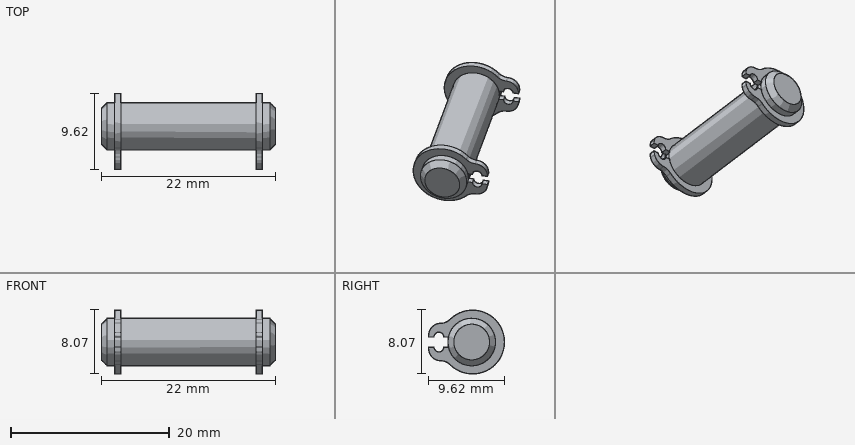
import cadquery as cq
import math

pin_length = 22.0
pin_diameter = 6.0
pin_chamfer = 0.75
groove_diameter = 5.65

ring_thickness = 0.8
ring_end_gap = 1.67
ring_radius = 8.07 / 2
ring_offset = 0.1

neck_angle = math.radians(45)
neck_radius = 1.63
lug_radius = 1.55
tip_arc_top = 1.23
slot_half_width = 0.627
notch_radius = 0.605
notch_y = -4.14


def polar(center, radius, angle):
    """Point on a circle in the YZ plane, angle measured from +Y."""
    return (center[0] + radius * math.cos(angle), center[1] + radius * math.sin(angle))


def mirrored(point):
    return (point[0], -point[1])


def make_pin():
    pin = cq.Workplane("YZ").circle(pin_diameter / 2).extrude(pin_length / 2, both=True)
    return pin.faces("<X or >X").chamfer(pin_chamfer)


def make_groove(x_start):
    return (
        cq.Workplane("YZ", origin=(x_start, 0, 0))
        .circle(pin_diameter / 2)
        .circle(groove_diameter / 2)
        .extrude(ring_thickness)
    )


def make_ring(x_start):
    ring_center = (ring_offset, 0)
    back = ring_offset + ring_radius
    rim_end = polar(ring_center, ring_radius, math.pi - neck_angle)

    neck_center = polar(ring_center, ring_radius + neck_radius, math.pi - neck_angle)
    neck_end = polar(neck_center, neck_radius, -math.pi / 2)
    neck_mid = polar(neck_center, neck_radius, -(neck_angle + math.pi / 2) / 2)

    lug_center = (neck_end[0], neck_end[1] - lug_radius)
    lug_end_angle = math.pi - math.asin((tip_arc_top - lug_center[1]) / lug_radius)
    lug_mid = polar(lug_center, lug_radius, (math.pi / 2 + lug_end_angle) / 2)
    lug_end = polar(lug_center, lug_radius, lug_end_angle)

    tip_radius = (tip_arc_top - slot_half_width) / math.sin(lug_end_angle)
    tip_center = (lug_end[0] - tip_radius * math.cos(lug_end_angle), slot_half_width)
    tip_mid = polar(tip_center, tip_radius, (lug_end_angle + math.pi) / 2)
    tip = polar(tip_center, tip_radius, math.pi)

    notch_outer = (notch_y - notch_radius, slot_half_width)
    notch_top = (notch_y, slot_half_width + notch_radius)
    notch_inner = (notch_y + notch_radius, slot_half_width)
    slot_root = (-math.sqrt((groove_diameter / 2) ** 2 - slot_half_width ** 2), slot_half_width)

    return (
        cq.Workplane("YZ", origin=(x_start, 0, 0))
        .moveTo(*mirrored(rim_end))
        .threePointArc((back, 0), rim_end)
        .threePointArc(neck_mid, neck_end)
        .threePointArc(lug_mid, lug_end)
        .threePointArc(tip_mid, tip)
        .lineTo(*notch_outer)
        .threePointArc(notch_top, notch_inner)
        .lineTo(*slot_root)
        .threePointArc((-groove_diameter / 2, 0), mirrored(slot_root))
        .lineTo(*mirrored(notch_inner))
        .threePointArc(mirrored(notch_top), mirrored(notch_outer))
        .lineTo(*mirrored(tip))
        .threePointArc(mirrored(tip_mid), mirrored(lug_end))
        .threePointArc(mirrored(lug_mid), mirrored(neck_end))
        .threePointArc(mirrored(neck_mid), mirrored(rim_end))
        .close()
        .extrude(ring_thickness)
    )


first_ring_x = -pin_length / 2 + ring_end_gap
second_ring_x = pin_length / 2 - ring_end_gap - ring_thickness

result = make_pin()
for ring_x in (first_ring_x, second_ring_x):
    result = result.cut(make_groove(ring_x)).union(make_ring(ring_x))